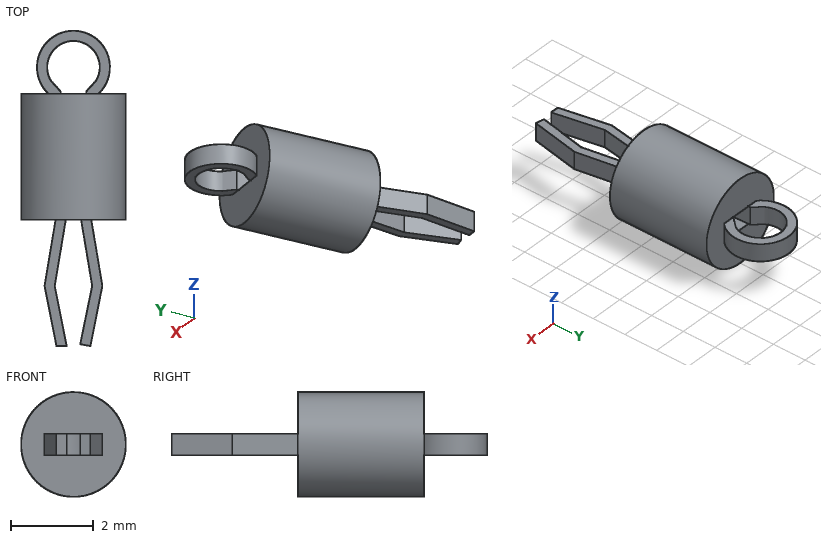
import cadquery as cq
import math

overall_length = 7.62
body_diameter = 2.54
body_length = 3.05
loop_height = 1.525

strip_thickness = 0.25
strip_width = 0.525

loop_outer_radius = 0.885
tail_start_x = 0.54
tail_end_x = 0.305
tail_end_rise = 0.05

leg_root_x = 0.18
knee_x = 0.45
knee_drop = 1.59
tip_x = 0.16
square_tip_rise = 0.045

body_top = body_length / 2
body_bottom = -body_length / 2
leg_length = overall_length - body_length - loop_height
loop_inner_radius = loop_outer_radius - strip_thickness
loop_center_y = body_top + loop_height - loop_outer_radius


def extrude_strip(outline):
    """Give a closed XY outline the strip width, centred on Z = 0."""
    return outline.close().extrude(strip_width / 2, both=True)


def make_body():
    return (
        cq.Workplane("XZ", origin=(0, body_top, 0))
        .circle(body_diameter / 2)
        .extrude(body_length)
    )


def make_strip_gap():
    """Tapered passage through the bead, between the two runs of the strip."""
    outline = cq.Workplane("XY").polyline([
        (-leg_root_x, body_bottom),
        (leg_root_x, body_bottom),
        (tail_end_x, body_top),
        (-tail_end_x, body_top),
    ])
    return extrude_strip(outline)


def make_loop():
    outer_foot_x = math.sqrt(loop_outer_radius**2 - (loop_center_y - body_top) ** 2)
    tail_start_y = loop_center_y - math.sqrt(loop_inner_radius**2 - tail_start_x**2)
    tail_end_y = body_top + tail_end_rise
    outline = (
        cq.Workplane("XY")
        .moveTo(-outer_foot_x, body_top)
        .threePointArc((0, loop_center_y + loop_outer_radius), (outer_foot_x, body_top))
        .lineTo(tail_end_x, body_top)
        .lineTo(tail_end_x, tail_end_y)
        .lineTo(tail_start_x, tail_start_y)
        .threePointArc((0, loop_center_y + loop_inner_radius), (-tail_start_x, tail_start_y))
        .lineTo(-tail_end_x, tail_end_y)
        .lineTo(-tail_end_x, body_top)
    )
    return extrude_strip(outline)


def make_leg(side, inner_tip_rise):
    """Bent leg on the side given by the sign of X."""
    knee_y = body_bottom - knee_drop
    tip_y = body_bottom - leg_length
    outline = cq.Workplane("XY").polyline([
        (side * leg_root_x, body_bottom),
        (side * knee_x, knee_y),
        (side * tip_x, tip_y + inner_tip_rise),
        (side * (tip_x + strip_thickness), tip_y),
        (side * (knee_x + strip_thickness), knee_y),
        (side * (leg_root_x + strip_thickness), body_bottom),
    ])
    return extrude_strip(outline)


left_leg = make_leg(-1, 0)
right_leg = make_leg(1, square_tip_rise)

bead = make_body().cut(make_strip_gap())
result = bead.union(make_loop()).union(left_leg).union(right_leg)